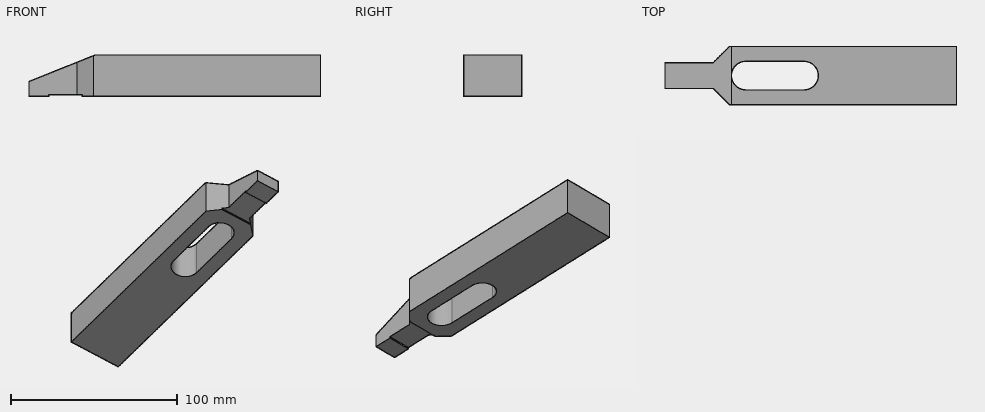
import cadquery as cq

LENGTH = 175.0
WIDTH = 35.0
HEIGHT = 25.0

NOSE_WIDTH = 15.5
NOSE_TIP_HEIGHT = 9.0
SLOPE_LENGTH = 40.0
NECK_LENGTH = 29.0
SHOULDER_RUN = (WIDTH - NOSE_WIDTH) / 2
SHOULDER_END = NECK_LENGTH + SHOULDER_RUN

PAD_LENGTH = 12.0
RELIEF_LENGTH = 20.0
RELIEF_DEPTH = 1.0

SLOT_LENGTH = 52.0
SLOT_WIDTH = 17.0
SLOT_CENTER_X = SLOPE_LENGTH + SLOT_LENGTH / 2


def make_plan_body():
    """Full-height bar with a narrow nose and flared shoulders."""
    half_width = WIDTH / 2
    half_nose = NOSE_WIDTH / 2
    outline = [
        (0, -half_nose),
        (NECK_LENGTH, -half_nose),
        (SHOULDER_END, -half_width),
        (LENGTH, -half_width),
        (LENGTH, half_width),
        (SHOULDER_END, half_width),
        (NECK_LENGTH, half_nose),
        (0, half_nose),
    ]
    return cq.Workplane("XY").polyline(outline).close().extrude(HEIGHT)


def make_side_profile():
    """Side profile with the sloped nose and underside relief, across the full width."""
    relief_end = PAD_LENGTH + RELIEF_LENGTH
    outline = [
        (0, 0),
        (PAD_LENGTH, 0),
        (PAD_LENGTH, RELIEF_DEPTH),
        (relief_end, RELIEF_DEPTH),
        (relief_end, 0),
        (LENGTH, 0),
        (LENGTH, HEIGHT),
        (SLOPE_LENGTH, HEIGHT),
        (0, NOSE_TIP_HEIGHT),
    ]
    return cq.Workplane("XZ").polyline(outline).close().extrude(WIDTH / 2, both=True)


def make_slot():
    """Round-ended slot through the full height."""
    return (
        cq.Workplane("XY")
        .center(SLOT_CENTER_X, 0)
        .slot2D(SLOT_LENGTH, SLOT_WIDTH)
        .extrude(HEIGHT)
    )


result = make_plan_body().intersect(make_side_profile()).cut(make_slot())